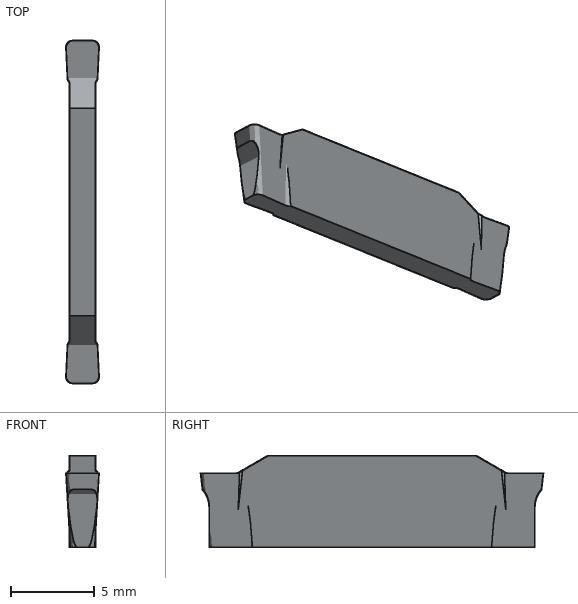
import cadquery as cq
import math

length = 20.65
height = 5.53
shank_width = 1.6
head_width = 2.0

edge_height = 4.48
ramp_start_depth = 4.07
ramp_angle = 30.0
ramp_fillet = 0.27
lower_front_depth = 0.52
relief_bottom_z = 2.44
relief_top_z = 3.5

corner_radius = 0.41
front_draft = lower_front_depth / edge_height
side_draft = 0.06
back_taper_angle = 2.7

shoulder_depth = 2.344
shoulder_draft = 0.033
shoulder_angle = 34.0
shoulder_run = 0.62

hollow_bottom_depth = 2.83
hollow_draft = 0.027
hollow_radius = 0.34

margin = 0.41
loft_top_z = height
half_length = length / 2
taper = math.radians(back_taper_angle)


def tip_half_width(z):
    return head_width / 2 - side_draft * (edge_height - z)


def front_depth(z):
    return front_draft * (edge_height - z)


def side_tangent(z):
    """Depth and half width where the corner arc meets the tapered side."""
    depth = front_depth(z) + corner_radius * (1 + math.sin(taper))
    half_width = tip_half_width(z) - corner_radius * (1 - math.cos(taper))
    return depth, half_width


def side_half_width(depth, z):
    tangent_depth, tangent_half_width = side_tangent(z)
    return tangent_half_width - math.tan(taper) * (depth - tangent_depth)


def at(depth, x):
    """Plan point for the end at -Y."""
    return x, depth - half_length


def ruled_loft(section):
    """Straight-sided loft between the plan sections at the bottom and the top."""
    wires = [section(z).wire().val() for z in (0, loft_top_z)]
    return cq.Workplane(cq.Solid.makeLoft(wires, True))


def head_section(z):
    front = front_depth(z)
    corner_x = tip_half_width(z) - corner_radius
    arc_angle = (math.pi / 2 + taper) / 2
    arc_depth = front + corner_radius * (1 - math.cos(arc_angle))
    arc_x = corner_x + corner_radius * math.sin(arc_angle)
    tangent_depth, tangent_x = side_tangent(z)
    shoulder = shoulder_depth - shoulder_draft * (edge_height - z)
    shoulder_x = side_half_width(shoulder, z)
    back = shoulder + shoulder_run
    back_x = shoulder_x - shoulder_run * math.tan(math.radians(shoulder_angle))
    return (
        cq.Workplane("XY", origin=(0, 0, z))
        .moveTo(*at(front, -corner_x))
        .lineTo(*at(front, corner_x))
        .threePointArc(at(arc_depth, arc_x), at(tangent_depth, tangent_x))
        .lineTo(*at(shoulder, shoulder_x))
        .lineTo(*at(back, back_x))
        .lineTo(*at(back, -back_x))
        .lineTo(*at(shoulder, -shoulder_x))
        .lineTo(*at(tangent_depth, -tangent_x))
        .threePointArc(at(arc_depth, -arc_x), at(front, -corner_x))
        .close()
    )


def hollow_section(z):
    """Space outside the +X side of the head, ending in a concave run-out."""
    start = -margin
    outside_x = head_width
    end = hollow_bottom_depth - hollow_draft * z
    end_x = side_half_width(end, z)
    arc_angle = (math.pi / 2 + taper) / 2
    centre_depth = end + hollow_radius * math.sin(taper)
    centre_x = end_x + hollow_radius * math.cos(taper)
    mid_angle = arc_angle - taper
    mid_depth = centre_depth + hollow_radius * math.sin(mid_angle)
    mid_x = centre_x - hollow_radius * math.cos(mid_angle)
    runout_depth = centre_depth + hollow_radius
    return (
        cq.Workplane("XY", origin=(0, 0, z))
        .moveTo(*at(start, outside_x))
        .lineTo(*at(start, side_half_width(start, z)))
        .lineTo(*at(end, end_x))
        .threePointArc(at(mid_depth, mid_x), at(runout_depth, centre_x))
        .lineTo(*at(runout_depth, outside_x))
        .close()
    )


def half_envelope(width):
    """Side outline of the -Y half, extruded across X, left open in front of the cutting edge."""
    ramp_run = (height - edge_height) / math.tan(math.radians(ramp_angle))
    ramp_foot_depth = ramp_start_depth - ramp_run
    relief_top_depth = front_depth(relief_top_z)
    front_y = -half_length
    outline = (
        cq.Workplane("YZ", origin=(-width / 2, 0, 0))
        .moveTo(0, 0)
        .lineTo(front_y + lower_front_depth, 0)
        .lineTo(front_y + lower_front_depth, relief_bottom_z)
        .tangentArcPoint((front_y + relief_top_depth, relief_top_z), relative=False)
        .lineTo(front_y - margin, relief_top_z)
        .lineTo(front_y - margin, edge_height)
        .lineTo(front_y + ramp_foot_depth, edge_height)
        .lineTo(front_y + ramp_start_depth, height)
        .lineTo(0, height)
        .close()
    )
    solid = outline.extrude(width)
    ramp_foot = cq.selectors.NearestToPointSelector((0, front_y + ramp_foot_depth, edge_height))
    return solid.edges(ramp_foot).fillet(ramp_fillet)


def half_insert():
    shank_start = shoulder_depth - 2 * margin
    shank_box = cq.Workplane("XY").box(
        shank_width, half_length - shank_start, height, centered=(True, False, False)
    ).translate((0, shank_start - half_length, 0))
    shank = half_envelope(shank_width).intersect(shank_box)
    hollow = ruled_loft(hollow_section)
    shank = shank.cut(hollow).cut(hollow.mirror("YZ"))
    head = ruled_loft(head_section).intersect(half_envelope(2 * head_width))
    return shank.union(head)


end = half_insert()
result = end.union(end.mirror("XZ")).clean()